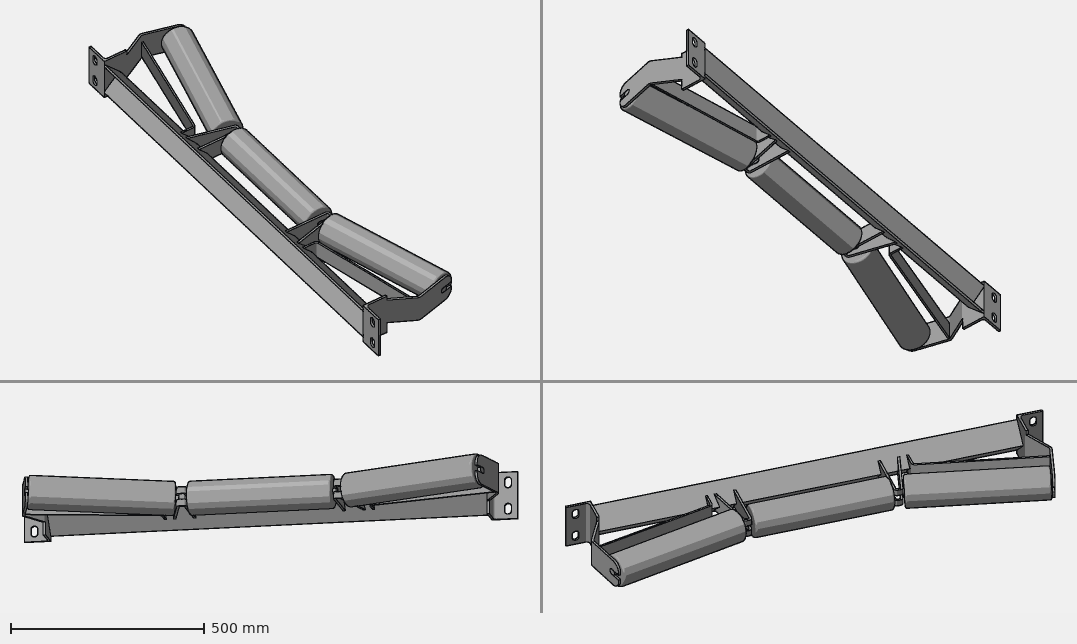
import cadquery as cq
import math


TOTAL_LENGTH = 1300.0

BEAM_HALF_LENGTH = 581.0
ANGLE_LEG = 70.0
ANGLE_THICKNESS = 7.0
ANGLE_ROOT_RADIUS = 9.0
ANGLE_TOE_RADIUS = 5.0

BRACKET_THICKNESS = 6.0
FOOT_WIDTH = 125.0
FOOT_BEND_RADIUS = 9.0
WEB_TOP_Y = 72.0
WEB_BEND_RADIUS = 13.0
KNEE_X = -628.0
KNEE_Y = 148.0
KNEE_RADIUS = 9.0
ARM_LENGTH = 126.0
ARM_WIDTH = 78.0
ARM_OFFSET_Z = 10.0
ARM_CORNER_RADIUS = 26.0
FOOT_SLOT_X = 624.0
FOOT_SLOT_SPACING = 70.0
FOOT_SLOT_LENGTH = 29.0
FOOT_SLOT_WIDTH = 18.0

SEAT_WIDTH = 51.0

SADDLE_THICKNESS = 6.0
SADDLE_FACE_X = -194.0
SADDLE_TOP_Y = 162.0
SADDLE_CREST = 23.0
SADDLE_FOLD_RADIUS = 3.0

STRUT_THICKNESS = 5.0
STRUT_FOOT_X = -272.0
STRUT_BEND_Y = 72.0
STRUT_BEND_RADIUS = 5.0
STRUT_RISE_ABOVE_KNEE = 4.0

ROLLER_RADIUS = 44.5
ROLLER_LENGTH = 380.0
ROLLER_EDGE_RADIUS = 5.0
SHAFT_DEPTH = 21.0
SHAFT_WIDTH = 15.0
OUTER_OVERHANG = 9.0
INNER_OVERHANG = 10.0
MIDDLE_OVERHANG = 9.0
MIDDLE_AXIS_Y = 135.0
TROUGH_ANGLE = 15.0
TOE_IN_ANGLE = 1.5
SIDE_INNER_X = -228.0
SIDE_INNER_Y = 140.0
SADDLE_NOTCH_LENGTH = 17.0
ARM_NOTCH_LENGTH = 26.0

SIN_TROUGH = math.sin(math.radians(TROUGH_ANGLE))
COS_TROUGH = math.cos(math.radians(TROUGH_ANGLE))
TOE_LIFT = ANGLE_TOE_RADIUS * (math.sqrt(2) - 1)
APEX_Y = (ANGLE_LEG + ANGLE_THICKNESS) / math.sqrt(2) - TOE_LIFT
SEAT_Y = APEX_Y - SEAT_WIDTH / 2
KNEE = (KNEE_X, KNEE_Y)
ARM_TOP = (KNEE_X + ARM_LENGTH * SIN_TROUGH, KNEE_Y + ARM_LENGTH * COS_TROUGH)


def offset_path(points, distance):
    """Shift an open path to its left by distance, with mitred corners."""
    headings = [math.atan2(b[1] - a[1], b[0] - a[0]) for a, b in zip(points, points[1:])]
    shifted = []
    for i, (x, y) in enumerate(points):
        before = headings[max(i - 1, 0)]
        after = headings[min(i, len(headings) - 1)]
        normal = (before + after + math.pi) / 2
        reach = distance / math.cos((after - before) / 2)
        shifted.append((x + reach * math.cos(normal), y + reach * math.sin(normal)))
    return shifted


def bent_strip(points, thickness, width):
    """Bar that follows a path, with its material to the left and its Z width centred on zero."""
    outline = points + offset_path(points, thickness)[::-1]
    return cq.Workplane("XY", origin=(0, 0, -width / 2)).polyline(outline).close().extrude(width)


def round_edge(body, direction, point, radius):
    """Round the edge parallel to an axis that lies nearest to a 3D point."""
    edge = body.edges(direction).edges(cq.selectors.NearestToPointSelector(point))
    return edge.fillet(radius)


def round_bend(body, point, radius):
    return round_edge(body, "|Z", (*point, 0), radius)


def mirrored(body):
    return body.mirror("YZ")


def make_beam():
    t = ANGLE_THICKNESS
    section = [(0, 0), (ANGLE_LEG, 0), (ANGLE_LEG, t), (t, t), (t, ANGLE_LEG), (0, ANGLE_LEG)]
    beam = (
        cq.Workplane("YZ", origin=(-BEAM_HALF_LENGTH, 0, 0))
        .polyline(section)
        .close()
        .extrude(2 * BEAM_HALF_LENGTH)
    )
    beam = round_edge(beam, "|X", (0, ANGLE_LEG, t), ANGLE_TOE_RADIUS)
    beam = round_edge(beam, "|X", (0, t, ANGLE_LEG), ANGLE_TOE_RADIUS)
    beam = round_edge(beam, "|X", (0, t, t), ANGLE_ROOT_RADIUS)
    return beam.rotate((0, 0, 0), (1, 0, 0), 135).translate((0, APEX_Y, 0))


def seat_on_beam(body):
    """Trim a standing plate to the two sloping flanges and to the seat height."""
    wedge = (
        cq.Workplane("YZ", origin=(-BEAM_HALF_LENGTH, 0, 0))
        .polyline([(APEX_Y, 0), (0, APEX_Y), (0, -APEX_Y)])
        .close()
        .extrude(2 * BEAM_HALF_LENGTH)
    )
    below_seat = cq.Workplane("XY").box(TOTAL_LENGTH, 2 * SEAT_Y, FOOT_WIDTH)
    return body.cut(below_seat).cut(wedge)


def make_roller(left_overhang, right_overhang):
    """Roller along X, centred on the origin, with a flattened shaft end at either side."""
    barrel = (
        cq.Workplane("YZ", origin=(-ROLLER_LENGTH / 2, 0, 0))
        .circle(ROLLER_RADIUS)
        .extrude(ROLLER_LENGTH)
        .faces("<X or >X")
        .edges()
        .fillet(ROLLER_EDGE_RADIUS)
    )
    shaft = (
        cq.Workplane("YZ", origin=(-ROLLER_LENGTH / 2 - left_overhang, 0, 0))
        .slot2D(SHAFT_DEPTH, SHAFT_WIDTH)
        .extrude(left_overhang + ROLLER_LENGTH + right_overhang)
    )
    return barrel.union(shaft)


def make_notch(side, length):
    """Round-bottomed slot, open to +Y, reaching out from one end of a roller at the origin."""
    height = 2 * ROLLER_RADIUS
    return (
        cq.Workplane("YZ", origin=(side * ROLLER_LENGTH / 2, 0, 0))
        .center((height - SHAFT_DEPTH) / 2, 0)
        .slot2D(height, SHAFT_WIDTH)
        .extrude(side * length)
    )


def place_middle(body):
    return body.translate((0, MIDDLE_AXIS_Y, 0))


def place_left(body):
    """Move a body from the origin to the left roller's raised and toed-in axis."""
    return (
        body.translate((-ROLLER_LENGTH / 2, 0, 0))
        .rotate((0, 0, 0), (0, 1, 0), TOE_IN_ANGLE)
        .rotate((0, 0, 0), (0, 0, 1), -TROUGH_ANGLE)
        .translate((SIDE_INNER_X, SIDE_INNER_Y, 0))
    )


def make_left_bracket():
    toe = (-TOTAL_LENGTH / 2, 0)
    heel = (-BEAM_HALF_LENGTH, 0)
    web_top = (-BEAM_HALF_LENGTH, WEB_TOP_Y)
    inner_knee, inner_arm_top = offset_path([KNEE, ARM_TOP], -BRACKET_THICKNESS)
    path = [toe, heel, web_top, inner_knee, inner_arm_top]
    far_side = offset_path(path, BRACKET_THICKNESS)

    bracket = bent_strip(path, BRACKET_THICKNESS, FOOT_WIDTH)
    bracket = round_bend(bracket, far_side[1], FOOT_BEND_RADIUS)
    bracket = round_bend(bracket, web_top, WEB_BEND_RADIUS + BRACKET_THICKNESS)
    bracket = round_bend(bracket, far_side[2], WEB_BEND_RADIUS)
    bracket = round_bend(bracket, inner_knee, KNEE_RADIUS)
    bracket = round_bend(bracket, far_side[3], KNEE_RADIUS + BRACKET_THICKNESS)
    bracket = round_arm_corners(narrow_to_arm(bracket))
    return bracket.cut(make_foot_slots()).cut(place_left(make_notch(-1, ARM_NOTCH_LENGTH)))


def narrow_to_arm(bracket):
    """Cut the plate above the web down to the arm width."""
    for side in (1, -1):
        arm_edge = ARM_OFFSET_Z + side * ARM_WIDTH / 2
        trim = cq.Workplane("XY").box(TOTAL_LENGTH, 2 * ARM_LENGTH, FOOT_WIDTH, centered=(True, False, True))
        bracket = bracket.cut(trim.translate((0, WEB_TOP_Y, arm_edge + side * FOOT_WIDTH / 2)))
    return bracket


def round_arm_corners(bracket):
    through_plate = cq.selectors.ParallelDirSelector(cq.Vector(COS_TROUGH, -SIN_TROUGH, 0))
    for side in (1, -1):
        corner = (*ARM_TOP, ARM_OFFSET_Z + side * ARM_WIDTH / 2)
        bracket = round_edge(bracket, through_plate, corner, ARM_CORNER_RADIUS)
    return bracket


def make_foot_slots():
    return (
        cq.Workplane("XZ", origin=(-FOOT_SLOT_X, 0, 0))
        .pushPoints([(0, FOOT_SLOT_SPACING / 2), (0, -FOOT_SLOT_SPACING / 2)])
        .slot2D(FOOT_SLOT_LENGTH, FOOT_SLOT_WIDTH, 90)
        .extrude(-BRACKET_THICKNESS)
    )


def make_left_saddle():
    """Folded plate: an upright leg for the middle roller, a leaning leg for the side roller."""
    lean_top_x = SADDLE_FACE_X - SADDLE_CREST
    lean_foot_x = lean_top_x - SADDLE_TOP_Y * SIN_TROUGH / COS_TROUGH
    path = [(SADDLE_FACE_X, 0), (SADDLE_FACE_X, SADDLE_TOP_Y), (lean_top_x, SADDLE_TOP_Y), (lean_foot_x, 0)]
    underside = offset_path(path, SADDLE_THICKNESS)
    saddle = bent_strip(path, SADDLE_THICKNESS, SEAT_WIDTH)
    for fold in (1, 2):
        saddle = round_bend(saddle, path[fold], SADDLE_FOLD_RADIUS + SADDLE_THICKNESS)
        saddle = round_bend(saddle, underside[fold], SADDLE_FOLD_RADIUS)
    saddle = saddle.cut(place_middle(make_notch(-1, SADDLE_NOTCH_LENGTH)))
    saddle = saddle.cut(place_left(make_notch(1, SADDLE_NOTCH_LENGTH)))
    return seat_on_beam(saddle)


def make_left_strut(bracket):
    """Flat bar bent over the beam, its upper end butting against the inside of the bracket knee."""
    bend = (STRUT_FOOT_X, STRUT_BEND_Y)
    inside_plate = (KNEE_X + BRACKET_THICKNESS / 2, KNEE_Y + STRUT_RISE_ABOVE_KNEE)
    path = [(STRUT_FOOT_X, 0), bend, inside_plate]
    inner_bend = offset_path(path, STRUT_THICKNESS)[1]
    strut = bent_strip(path, STRUT_THICKNESS, SEAT_WIDTH)
    strut = round_bend(strut, bend, STRUT_BEND_RADIUS + STRUT_THICKNESS)
    strut = round_bend(strut, inner_bend, STRUT_BEND_RADIUS)
    return seat_on_beam(strut).cut(bracket)


left_saddle = make_left_saddle()
base = make_beam().union(left_saddle).union(mirrored(left_saddle))
middle_roller = place_middle(make_roller(MIDDLE_OVERHANG, MIDDLE_OVERHANG))

left_roller = place_left(make_roller(OUTER_OVERHANG, INNER_OVERHANG))
left_bracket = make_left_bracket()
left_strut = make_left_strut(left_bracket)

bodies = [base.val(), middle_roller.val()]
for left_body in (left_roller, left_bracket, left_strut):
    bodies.append(left_body.val())
    bodies.append(mirrored(left_body).val())

result = cq.Compound.makeCompound(bodies)